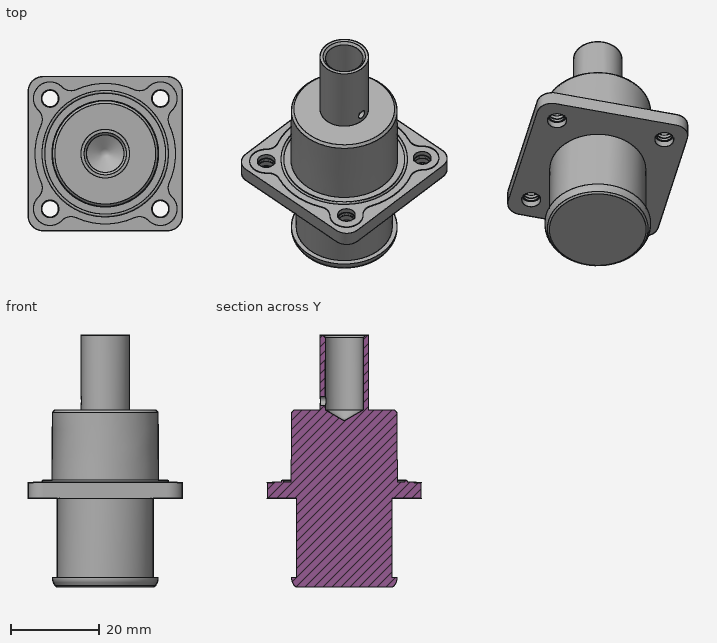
import cadquery as cq

total_height = 57.1
collar_height = 2.2
flange_bottom = 20.1
flange_top = 23.7
gasket_top = 23.85
boss_top = 40.2

barrel_radius = 21.8 / 2
collar_radius = 24.0 / 2
boss_top_radius = 24.0 / 2
boss_base_radius = 24.2 / 2
boss_chamfer = 0.55

collar_rim_bottom = 1.7
collar_cone_top = 1.2
collar_cone_bottom = 0.35
collar_cone_top_radius = 11.9
collar_cone_bottom_radius = 11.4
collar_base_radius = 10.95

stem_radius = 11.0 / 2
bore_radius = 8.5 / 2
bore_mouth_radius = 9.6 / 2
bore_mouth_depth = bore_mouth_radius - bore_radius
bore_floor = boss_top
bore_tip_depth = 2.45
vent_diameter = 2.0
vent_height = 42.2

flange_side = 35.0
flange_corner_radius = 3.4
hole_offset = 12.5
hole_waist_diameter = 3.7
hole_mouth_diameter = 4.0
hole_mouth_depth = 1.15
hole_waist_length = 0.9
hole_underside_diameter = 4.3

pad_radius = 15.95
pad_lobe_radius = 3.75
pad_blend_radius = 2.85
bead_inner_radius = 13.7
bead_outer_radius = 14.35
bead_height = 0.4


def cylinder(radius, bottom, top):
    return cq.Workplane("XY").workplane(offset=bottom).circle(radius).extrude(top - bottom)


def at_hole_places(bottom):
    """Workplane at a given height with a point at each mounting hole."""
    spacing = 2 * hole_offset
    plane = cq.Workplane("XY").workplane(offset=bottom)
    return plane.rect(spacing, spacing, forConstruction=True).vertices()


def turned_body():
    """Collar, barrel, boss and stem as one revolved profile."""
    return (
        cq.Workplane("XZ")
        .lineTo(collar_base_radius, 0)
        .lineTo(collar_cone_bottom_radius, collar_cone_bottom)
        .lineTo(collar_cone_top_radius, collar_cone_top)
        .lineTo(collar_radius, collar_rim_bottom)
        .lineTo(collar_radius, collar_height)
        .lineTo(barrel_radius, collar_height)
        .lineTo(barrel_radius, flange_top)
        .lineTo(boss_base_radius, flange_top)
        .lineTo(boss_top_radius, boss_top - boss_chamfer)
        .lineTo(boss_top_radius - boss_chamfer, boss_top)
        .lineTo(stem_radius, boss_top)
        .lineTo(stem_radius, total_height)
        .lineTo(0, total_height)
        .close()
        .revolve(360, (0, 0), (0, 1))
    )


def flange():
    return (
        cq.Workplane("XY")
        .workplane(offset=flange_bottom)
        .rect(flange_side, flange_side)
        .extrude(flange_top - flange_bottom)
        .edges("|Z")
        .fillet(flange_corner_radius)
    )


def gasket_pad():
    """Round pad with a lobe around each hole, blended where they meet."""
    pad = cylinder(pad_radius, flange_top, gasket_top)
    lobes = at_hole_places(flange_top).circle(pad_lobe_radius).extrude(gasket_top - flange_top)
    return pad.union(lobes).edges("|Z").fillet(pad_blend_radius)


def sealing_bead():
    """Ring with a domed cross-section standing on the pad."""
    middle_radius = (bead_inner_radius + bead_outer_radius) / 2
    return (
        cq.Workplane("XZ")
        .moveTo(bead_inner_radius, flange_top)
        .lineTo(bead_inner_radius, gasket_top)
        .threePointArc((middle_radius, gasket_top + bead_height), (bead_outer_radius, gasket_top))
        .lineTo(bead_outer_radius, flange_top)
        .close()
        .revolve(360, (0, 0), (0, 1))
    )


def mounting_holes():
    """Stepped holes: a short narrow waist between a wider mouth and a wider underside."""
    waist_top = gasket_top - hole_mouth_depth
    waist_bottom = waist_top - hole_waist_length
    steps = [
        (hole_underside_diameter, flange_bottom, waist_bottom),
        (hole_waist_diameter, waist_bottom, waist_top),
        (hole_mouth_diameter, waist_top, gasket_top),
    ]
    holes = cq.Workplane("XY")
    for diameter, bottom, top in steps:
        holes = holes.union(at_hole_places(bottom).circle(diameter / 2).extrude(top - bottom))
    return holes


def stem_bore():
    """Blind bore with a chamfered mouth and a conical floor."""
    return (
        cq.Workplane("XZ")
        .moveTo(0, bore_floor - bore_tip_depth)
        .lineTo(bore_radius, bore_floor)
        .lineTo(bore_radius, total_height - bore_mouth_depth)
        .lineTo(bore_mouth_radius, total_height)
        .lineTo(0, total_height)
        .close()
        .revolve(360, (0, 0), (0, 1))
    )


def vent_hole():
    """Radial hole from the -X side of the stem into its bore."""
    return (
        cq.Workplane("YZ")
        .center(0, vent_height)
        .circle(vent_diameter / 2)
        .extrude(-stem_radius)
    )


body = turned_body().union(flange()).union(gasket_pad()).union(sealing_bead())
result = body.cut(mounting_holes()).cut(stem_bore()).cut(vent_hole())